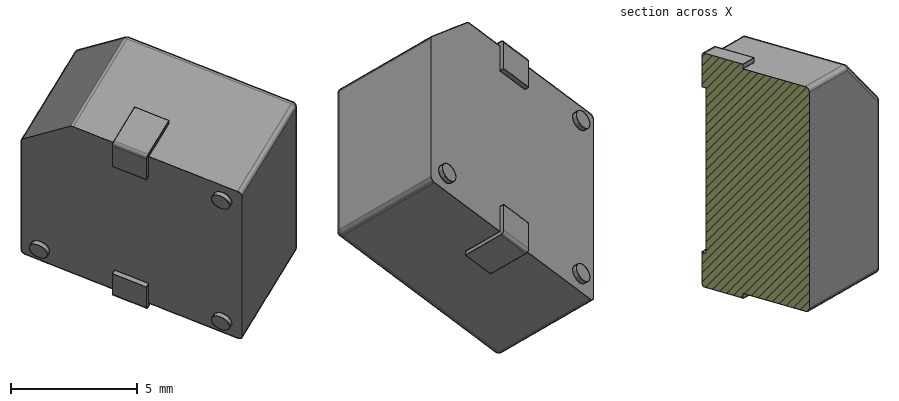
import cadquery as cq

body_side = 9.7
body_depth = 5.0
corner_cut = 2.2
edge_radius = 0.2

strip_thickness = 0.2
terminal_width = 1.5
terminal_front_length = 1.5
terminal_depth = 2.0
bend_radius = 0.15

foot_diameter = 0.8
foot_height = strip_thickness
foot_offset = 4.0

half_side = body_side / 2


def make_body():
    """Block with one cut corner, rounded everywhere except around the front face."""
    outline = [
        (-half_side, -half_side),
        (half_side, -half_side),
        (half_side, half_side),
        (-half_side + corner_cut, half_side),
        (-half_side, half_side - corner_cut),
    ]
    block = cq.Workplane("XZ").polyline(outline).close().extrude(-body_depth)
    return block.edges("|Y").fillet(edge_radius).faces(">Y").edges().fillet(edge_radius)


def make_top_terminal():
    """Strip lying on the top side and folded down over the front face."""
    outer_z = half_side + strip_thickness
    outer_y = -strip_thickness
    profile = [
        (outer_y, outer_z),
        (outer_y + terminal_depth, outer_z),
        (outer_y + terminal_depth, half_side),
        (0, half_side),
        (0, outer_z - terminal_front_length),
        (outer_y, outer_z - terminal_front_length),
    ]
    strip = cq.Workplane("YZ").polyline(profile).close().extrude(terminal_width / 2, both=True)
    return strip.edges("|X and >Z and <Y").fillet(bend_radius)


def make_feet():
    """Round feet near the three square corners."""
    centers = [
        (-foot_offset, -foot_offset),
        (foot_offset, -foot_offset),
        (foot_offset, foot_offset),
    ]
    return cq.Workplane("XZ").pushPoints(centers).circle(foot_diameter / 2).extrude(foot_height)


top_terminal = make_top_terminal()
bottom_terminal = top_terminal.mirror("XY")

result = make_body().union(top_terminal).union(bottom_terminal).union(make_feet())